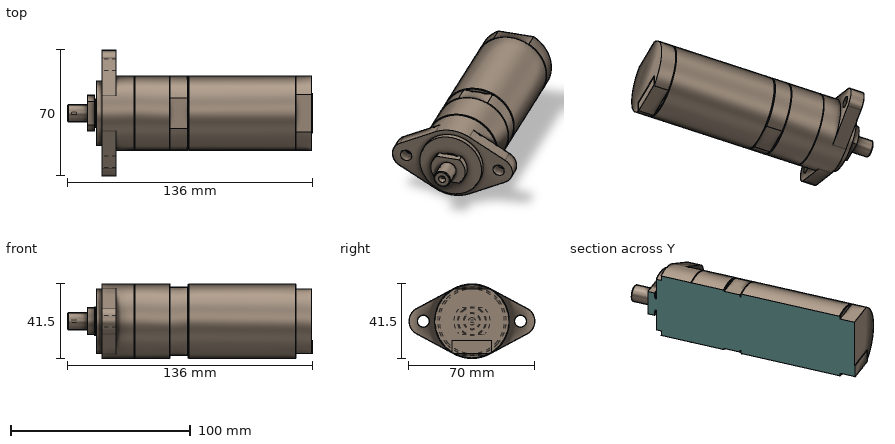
import cadquery as cq
import math

body_dia = 41.5

shaft_dia = 9.53
shaft_chamfer = 0.5
centre_hole_dia = 1.6
centre_hole_depth = 5.0
countersink_dia = 4.0
countersink_angle = 60.0

collar_dia = 20.0
collar_across_flats = 15.0
neck_dia = 16.0
neck_step_dia = 14.95
pilot_dia = 36.0

flange_thickness = 8.0
bolt_spacing = 54.0
bolt_hole_dia = 6.5
lobe_radius = 8.0

wrench_across_flats = 37.9
relief_dia = 37.9
edge_chamfer = 0.4
end_across_flats = 36.0

pad_width = 22.0
pad_top = -10.6

collar_start = 11.0
collar_end = 15.0
neck_step = 15.5
pilot_start = 16.0
flange_start = 19.0
front_housing_end = 37.0
wrench_start = 57.0
relief_start = 66.6
rear_body_start = 67.0
end_start = 127.0
end_face = 135.7
overall_length = 136.0


def cylinder(start, end, diameter):
    """Round section on the motor axis between two stations."""
    return cq.Workplane("YZ", origin=(start, 0, 0)).circle(diameter / 2).extrude(end - start)


def chamfered_cylinder(start, end, diameter, chamfer):
    """Round section with both end edges broken."""
    return cylinder(start, end, diameter).faces("<X or >X").chamfer(chamfer)


def flatted_cylinder(start, end, diameter, across_flats):
    """Round section with parallel flats facing +Z and -Z."""
    length = end - start
    slab = cq.Workplane("YZ", origin=(start, 0, 0)).rect(diameter, across_flats).extrude(length)
    return cylinder(start, end, diameter).intersect(slab)


def make_shaft():
    shaft = cylinder(0, collar_start, shaft_dia).faces("<X").chamfer(shaft_chamfer)
    return shaft.union(flatted_cylinder(collar_start, collar_end, collar_dia, collar_across_flats))


def make_neck():
    return cylinder(collar_end, neck_step, neck_dia).union(
        cylinder(neck_step, pilot_start, neck_step_dia)
    )


def make_flange():
    """Two-bolt flange: body circle and two end lobes joined by common tangents."""
    body_radius = body_dia / 2
    bolt_offset = bolt_spacing / 2
    tangent_cos = (body_radius - lobe_radius) / bolt_offset
    tangent_sin = math.sqrt(1 - tangent_cos**2)
    body_y = body_radius * tangent_cos
    body_z = body_radius * tangent_sin
    lobe_y = bolt_offset + lobe_radius * tangent_cos
    lobe_z = lobe_radius * tangent_sin
    lobe_tip = bolt_offset + lobe_radius
    return (
        cq.Workplane("YZ", origin=(flange_start, 0, 0))
        .moveTo(-body_y, body_z)
        .threePointArc((0, body_radius), (body_y, body_z))
        .lineTo(lobe_y, lobe_z)
        .threePointArc((lobe_tip, 0), (lobe_y, -lobe_z))
        .lineTo(body_y, -body_z)
        .threePointArc((0, -body_radius), (-body_y, -body_z))
        .lineTo(-lobe_y, -lobe_z)
        .threePointArc((-lobe_tip, 0), (-lobe_y, lobe_z))
        .close()
        .extrude(flange_thickness)
    )


def make_body():
    front_housing = cylinder(flange_start, front_housing_end, body_dia)
    gear_housing = chamfered_cylinder(front_housing_end, wrench_start, body_dia, edge_chamfer)
    wrench_section = flatted_cylinder(wrench_start, relief_start, body_dia, wrench_across_flats)
    relief = cylinder(relief_start, rear_body_start, relief_dia)
    rear_body = chamfered_cylinder(rear_body_start, end_start, body_dia, edge_chamfer)
    end_section = flatted_cylinder(end_start, end_face, body_dia, end_across_flats)
    body = cylinder(pilot_start, flange_start, pilot_dia)
    for section in (front_housing, gear_housing, wrench_section, relief, rear_body, end_section):
        body = body.union(section)
    return body


def make_end_pad():
    """Thin raised pad along the lower flat of the end face."""
    pad_bottom = -end_across_flats / 2
    pad = (
        cq.Workplane("YZ", origin=(end_face, 0, (pad_top + pad_bottom) / 2))
        .rect(pad_width, pad_top - pad_bottom)
        .extrude(overall_length - end_face)
    )
    return pad.intersect(cylinder(end_face, overall_length, body_dia))


def cut_bolt_holes(part):
    bolt_offset = bolt_spacing / 2
    holes = (
        cq.Workplane("YZ", origin=(flange_start, 0, 0))
        .pushPoints([(-bolt_offset, 0), (bolt_offset, 0)])
        .circle(bolt_hole_dia / 2)
        .extrude(flange_thickness)
    )
    return part.cut(holes)


def cut_centre_drilling(part):
    return (
        part.faces("<X")
        .workplane(centerOption="CenterOfMass")
        .cskHole(centre_hole_dia, countersink_dia, countersink_angle, centre_hole_depth)
    )


result = make_body().union(make_flange()).union(make_neck()).union(make_shaft()).union(make_end_pad())
result = cut_bolt_holes(result)
result = cut_centre_drilling(result)